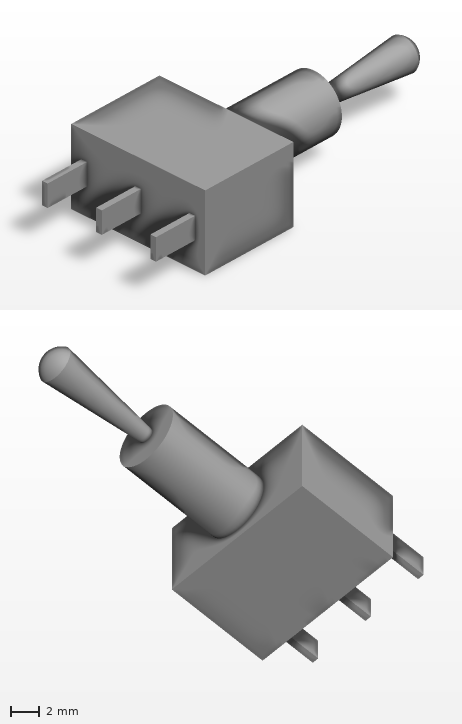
import cadquery as cq

overall_length = 32.0
body_width = 13.0
body_height = 7.0
body_length = 9.0
bushing_diameter = 5.3
bushing_length = 9.0
terminal_length = 4.0
terminal_thickness = 0.55
terminal_height = 2.0
terminal_pitch = 5.25
terminal_count = 3
lever_base_diameter = 1.2
lever_tip_diameter = 3.0
dome_height = 1.0

bushing_end = body_length + bushing_length
lever_end = overall_length - terminal_length
dome_start = lever_end - dome_height


def make_body():
    """Rectangular housing."""
    return cq.Workplane("XY").box(
        body_width, body_length, body_height, centered=(True, False, True)
    )


def make_bushing():
    """Cylindrical neck on the front of the housing."""
    return (
        cq.Workplane("XZ", origin=(0, body_length, 0))
        .circle(bushing_diameter / 2)
        .extrude(-bushing_length)
    )


def make_lever():
    """Flared lever with a rounded tip, revolved about Y."""
    tip_radius = lever_tip_diameter / 2
    dome_radius = (tip_radius**2 + dome_height**2) / (2 * dome_height)
    dome_center = lever_end - dome_radius
    middle_x = tip_radius / 2
    middle_y = dome_center + (dome_radius**2 - middle_x**2) ** 0.5
    return (
        cq.Workplane("XY")
        .moveTo(0, bushing_end)
        .lineTo(lever_base_diameter / 2, bushing_end)
        .lineTo(tip_radius, dome_start)
        .threePointArc((middle_x, middle_y), (0, lever_end))
        .close()
        .revolve(360, (0, 0, 0), (0, 1, 0))
    )


def make_terminals():
    """Row of flat terminals behind the housing."""
    return (
        cq.Workplane("XY", origin=(0, -terminal_length / 2, 0))
        .rarray(terminal_pitch, 0.32, terminal_count, 1)
        .box(terminal_thickness, terminal_length, terminal_height)
    )


result = make_body().union(make_bushing()).union(make_lever()).union(make_terminals())